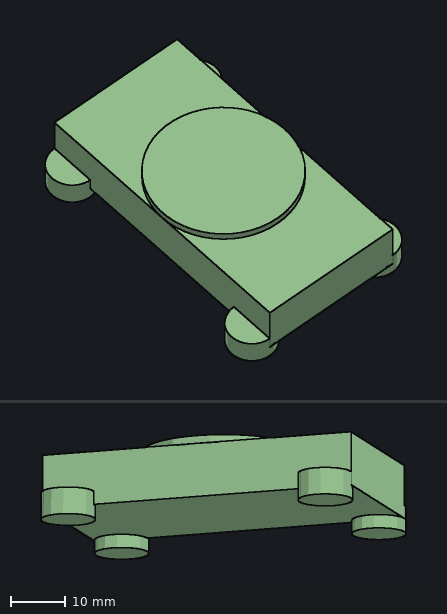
import cadquery as cq

body_length = 60.0
body_width = body_length / 2
body_height = body_length / 6
disc_diameter = body_width
disc_height = 1.5
foot_diameter = body_length / 6
foot_height = foot_diameter / 2
foot_drop = foot_height / 2

foot_x = (body_length - foot_diameter) / 2
foot_y = body_width / 2


def make_body():
    """Rectangular block with its underside at Z = 0."""
    return cq.Workplane("XY").box(body_length, body_width, body_height, centered=(True, True, False))


def make_disc():
    """Thin round disc standing on the top face."""
    return cq.Workplane("XY").workplane(offset=body_height).circle(disc_diameter / 2).extrude(disc_height)


def make_feet():
    """Four round feet, half sunk into the body at its corners."""
    return (
        cq.Workplane("XY")
        .workplane(offset=-foot_drop)
        .rect(2 * foot_x, 2 * foot_y, forConstruction=True)
        .vertices()
        .circle(foot_diameter / 2)
        .extrude(foot_height)
    )


result = make_body().union(make_disc()).union(make_feet())